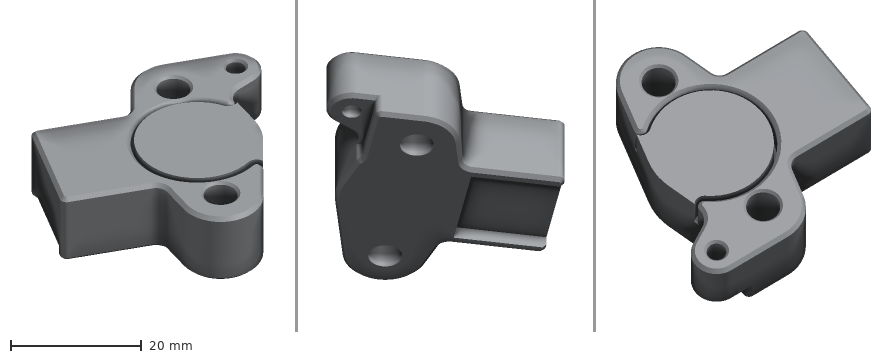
import cadquery as cq
import math

WIDTH = 40.75
LENGTH = 38.35
HEIGHT = 12.0
EDGE_CHAMFER = 0.6

HUB_R = 10.1
EAR_R = 6.5
EAR_X = WIDTH / 2 - EAR_R
EAR_HOLE_D = 5.2

SMALL_EAR_R = 3.9
REAR_Y = 14.45
SMALL_EAR_X = SMALL_EAR_R - WIDTH / 2
SMALL_EAR_Y = REAR_Y - SMALL_EAR_R
SMALL_EAR_HOLE_D = 3.0
SMALL_EAR_UNDERSIDE = 3.0
FLANK_NORMAL = 30.0
FLANK_ROOT_R = 2.97
HOLE_CHAMFER = 0.4

STEM_HALF = 9.25
FRONT_Y = REAR_Y - LENGTH
STEM_CORNER_R = 1.0
STEM_ROOT_R = 2.0
NOTCH_WIDTH = 15.25
NOTCH_HEIGHT = 2.08
NOTCH_LENGTH = 14.4

LEDGE_Y = 7.55
LEDGE_CORNER_R = 1.0
LEDGE_CONCAVE_D = 4.6
LEDGE_CONCAVE_R = LEDGE_CONCAVE_D / 2
LEDGE_CONVEX_D = 3.4
LEDGE_CONVEX_R = LEDGE_CONVEX_D / 2
LEDGE_START_X = -7.58

POCKET_R = 10.15
POCKET_DEPTH = 5.0
MOUTH_R = 1.0
COVER_GAP = 0.55

TOUCHING = 4.08e-07

SLANT = math.degrees(math.asin((HUB_R - EAR_R) / EAR_X))
SIN_SLANT = math.sin(math.radians(SLANT))
COS_SLANT = math.cos(math.radians(SLANT))

HUB_ARC = ((0, 0), HUB_R, 90 - SLANT, 90 + SLANT)


def polar(center, radius, angle):
    """Point at an angle in degrees on a circle."""
    turn = math.radians(angle)
    return center[0] + radius * math.cos(turn), center[1] + radius * math.sin(turn)


def slant_y(x, offset=0.0):
    """Y at a given x on the rear left slanted side, or on a parallel line offset outward from it."""
    return (HUB_R + offset + x * SIN_SLANT) / COS_SLANT


def prism(arcs, bottom, top):
    """Extrude an outline of arcs (center, radius, start angle, end angle) joined by straight lines."""
    start_point = cq.Vector(*polar(*arcs[0][:3]))
    path = cq.Workplane("XY").workplane(offset=bottom).moveTo(start_point.x, start_point.y)
    pen = start_point
    for center, radius, start, end in arcs:
        arc_start = cq.Vector(*polar(center, radius, start))
        if (arc_start - pen).Length > TOUCHING:
            path = path.lineTo(arc_start.x, arc_start.y)
        pen = cq.Vector(*polar(center, radius, end))
        path = path.threePointArc(polar(center, radius, (start + end) / 2), (pen.x, pen.y))
    return path.close().extrude(top - bottom)


def slant_depth(point):
    """Distance from a point to the rear slanted side on the same half of the part."""
    return HUB_R - abs(point[0]) * SIN_SLANT - point[1] * COS_SLANT


def flank_root_center():
    """Center of the concave arc between the flank of the small ear and the slanted side."""
    flank = math.radians(FLANK_NORMAL)
    flank_x, flank_y = math.cos(flank), math.sin(flank)
    flank_distance = SMALL_EAR_X * flank_x + SMALL_EAR_Y * flank_y + SMALL_EAR_R + FLANK_ROOT_R
    slant_distance = HUB_R + FLANK_ROOT_R
    determinant = flank_x * COS_SLANT + flank_y * SIN_SLANT
    x = (flank_distance * COS_SLANT - flank_y * slant_distance) / determinant
    return x, slant_y(x, FLANK_ROOT_R)


def small_ear_arcs():
    """Rear left boundary at the level of the small ear."""
    return [
        (flank_root_center(), FLANK_ROOT_R, 270 + SLANT, 180 + FLANK_NORMAL),
        ((SMALL_EAR_X, SMALL_EAR_Y), SMALL_EAR_R, FLANK_NORMAL, 180),
    ]


def ledge_arcs():
    """Rear left boundary of the base: an S-shaped step down to a straight ledge with a rounded corner."""
    convex_x = LEDGE_START_X + LEDGE_CONVEX_R * SIN_SLANT
    convex = (convex_x, slant_y(convex_x, -LEDGE_CONVEX_R))
    concave_y = LEDGE_Y + LEDGE_CONCAVE_R
    centers_apart = LEDGE_CONVEX_R + LEDGE_CONCAVE_R
    turn = math.acos((concave_y - convex[1]) / centers_apart)
    concave = (convex_x - centers_apart * math.sin(turn), concave_y)
    step = math.degrees(turn)
    corner = (LEDGE_CORNER_R - WIDTH / 2, LEDGE_Y - LEDGE_CORNER_R)
    return [
        (convex, LEDGE_CONVEX_R, 90 + SLANT, 90 + step),
        (concave, LEDGE_CONCAVE_R, 270 + step, 270),
        (corner, LEDGE_CORNER_R, 90, 180),
    ]


def stem_and_ears_arcs():
    """Counterclockwise boundary from the left ear over the stem to the right ear."""
    corner_x = STEM_HALF - STEM_CORNER_R
    corner_y = FRONT_Y + STEM_CORNER_R
    root_x = STEM_HALF + STEM_ROOT_R
    root_y = -slant_y(-root_x, STEM_ROOT_R)
    return [
        ((-EAR_X, 0), EAR_R, 180, 270 - SLANT),
        ((-root_x, root_y), STEM_ROOT_R, 90 - SLANT, 0),
        ((-corner_x, corner_y), STEM_CORNER_R, 180, 270),
        ((corner_x, corner_y), STEM_CORNER_R, -90, 0),
        ((root_x, root_y), STEM_ROOT_R, 180, 90 + SLANT),
        ((EAR_X, 0), EAR_R, SLANT - 90, 90 - SLANT),
    ]


def mouth_directions():
    """Directions from the hub axis to the centers of the right and left mouth roundings, in degrees."""
    reach = POCKET_R + MOUTH_R
    right = 90 - SLANT - math.degrees(math.acos((HUB_R - MOUTH_R) / reach))

    root_x, root_y = flank_root_center()
    root_distance = math.hypot(root_x, root_y)
    root_reach = FLANK_ROOT_R + MOUTH_R
    cosine = (root_distance**2 + reach**2 - root_reach**2) / (2 * root_distance * reach)
    left = math.degrees(math.atan2(root_y, root_x)) + math.degrees(math.acos(cosine))
    return right, left


RIGHT_MOUTH, LEFT_MOUTH = mouth_directions()
RIGHT_MOUTH_CENTER = polar((0, 0), POCKET_R + MOUTH_R, RIGHT_MOUTH)
LEFT_MOUTH_CENTER = polar((0, 0), POCKET_R + MOUTH_R, LEFT_MOUTH)
POCKET_FLOOR = HEIGHT - POCKET_DEPTH


def make_base():
    """Lower layer, with the ledge below the small ear."""
    base = prism([*stem_and_ears_arcs(), HUB_ARC, *ledge_arcs()], 0, POCKET_FLOOR)
    return base.faces("<Z").chamfer(EDGE_CHAMFER)


def make_ear_layer():
    """Middle layer, from the underside of the small ear to the pocket floor."""
    layer = prism([*stem_and_ears_arcs(), HUB_ARC, *small_ear_arcs()], SMALL_EAR_UNDERSIDE, POCKET_FLOOR)
    return layer.faces("<Z").chamfer(EDGE_CHAMFER)


def make_rim():
    """Top layer around the pocket, with rounded ends at the pocket's mouth."""
    flank_root, small_ear = small_ear_arcs()
    root_x, root_y = flank_root[0]
    to_root = math.degrees(math.atan2(root_y - LEFT_MOUTH_CENTER[1], root_x - LEFT_MOUTH_CENTER[0]))
    arcs = [
        *stem_and_ears_arcs(),
        (RIGHT_MOUTH_CENTER, MOUTH_R, 90 - SLANT, 180 + RIGHT_MOUTH),
        ((0, 0), POCKET_R, RIGHT_MOUTH, LEFT_MOUTH - 360),
        (LEFT_MOUTH_CENTER, MOUTH_R, LEFT_MOUTH - 180, to_root),
        (flank_root[0], FLANK_ROOT_R, to_root + 180, 180 + FLANK_NORMAL),
        small_ear,
    ]
    return prism(arcs, POCKET_FLOOR, HEIGHT).faces(">Z").chamfer(EDGE_CHAMFER)


def drill(body, x, y, diameter):
    """Cut a through hole with a chamfered mouth at the top."""
    radius = diameter / 2
    hole = cq.Workplane("XY").center(x, y).circle(radius).extrude(HEIGHT)
    mouth = cq.Solid.makeCone(
        radius, radius + HOLE_CHAMFER, HOLE_CHAMFER, cq.Vector(x, y, HEIGHT - HOLE_CHAMFER)
    )
    return body.cut(hole).cut(cq.Workplane(mouth))


def make_housing():
    """Housing with its pocket, mounting holes and the notch under the stem."""
    housing = make_base().union(make_ear_layer()).union(make_rim())
    housing = drill(housing, -EAR_X, 0, EAR_HOLE_D)
    housing = drill(housing, EAR_X, 0, EAR_HOLE_D)
    housing = drill(housing, SMALL_EAR_X, SMALL_EAR_Y, SMALL_EAR_HOLE_D)
    notch = cq.Workplane("XY").box(NOTCH_WIDTH, NOTCH_LENGTH, NOTCH_HEIGHT, centered=(True, False, False))
    return housing.cut(notch.translate((0, FRONT_Y, 0)))


def make_cover():
    """Flat cover on the pocket floor, a constant gap inside the rim and flush with the hub at the rear."""
    mouth_r = MOUTH_R + COVER_GAP
    right_turn = math.degrees(math.acos(slant_depth(RIGHT_MOUTH_CENTER) / mouth_r))
    left_turn = math.degrees(math.acos(slant_depth(LEFT_MOUTH_CENTER) / mouth_r))
    arcs = [
        HUB_ARC,
        (LEFT_MOUTH_CENTER, mouth_r, 90 + SLANT - left_turn, LEFT_MOUTH - 180),
        ((0, 0), POCKET_R - COVER_GAP, LEFT_MOUTH, 360 + RIGHT_MOUTH),
        (RIGHT_MOUTH_CENTER, mouth_r, 180 + RIGHT_MOUTH, 90 - SLANT + right_turn),
    ]
    return prism(arcs, POCKET_FLOOR, HEIGHT)


housing = make_housing()
cover = make_cover()
result = cq.Compound.makeCompound([housing.val(), cover.val()])